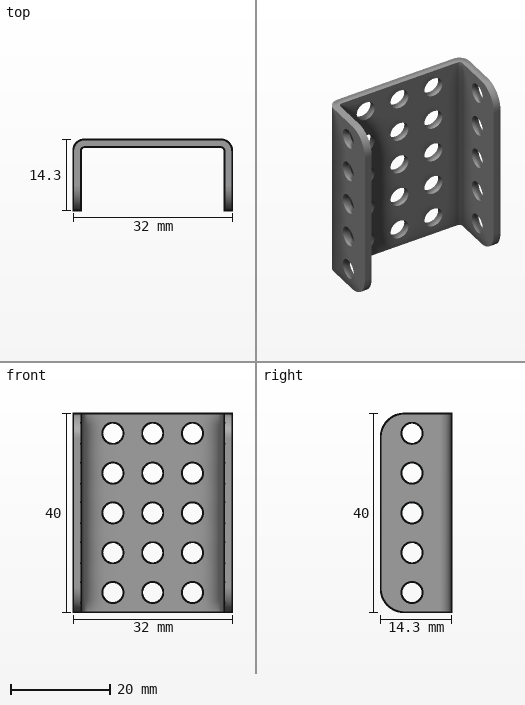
import cadquery as cq

width = 32.0
depth = 14.3
height = 40.0

sheet = 1.6
inner_bend_radius = 0.7
outer_bend_radius = inner_bend_radius + sheet
corner_radius = 4.8

hole_diameter = 4.2
hole_pitch = 8.0
web_columns = 3
rows = 5
flange_hole_setback = hole_pitch

back_y = depth / 2
flange_hole_y = back_y - flange_hole_setback


def make_channel():
    """Bent sheet, open towards -Y, with the web on the +Y side."""
    outer = (
        cq.Workplane("XY")
        .box(width, depth, height)
        .edges("|Z and >Y")
        .fillet(outer_bend_radius)
    )
    inner = (
        cq.Workplane("XY")
        .box(width - 2 * sheet, depth, height)
        .translate((0, -sheet, 0))
        .edges("|Z and >Y")
        .fillet(inner_bend_radius)
    )
    return outer.cut(inner)


def round_flange_corners(channel):
    """Round the free top and bottom corners of both flanges."""
    return channel.edges("|X and <Y").fillet(corner_radius)


def web_holes():
    return (
        cq.Workplane("XZ", origin=(0, back_y, 0))
        .rarray(hole_pitch, hole_pitch, web_columns, rows)
        .circle(hole_diameter / 2)
        .extrude(sheet)
    )


def flange_holes():
    """One column of drills, each passing through both flanges."""
    return (
        cq.Workplane("YZ", origin=(0, flange_hole_y, 0))
        .rarray(hole_pitch, hole_pitch, 1, rows)
        .circle(hole_diameter / 2)
        .extrude(width / 2, both=True)
    )


result = round_flange_corners(make_channel()).cut(web_holes()).cut(flange_holes())